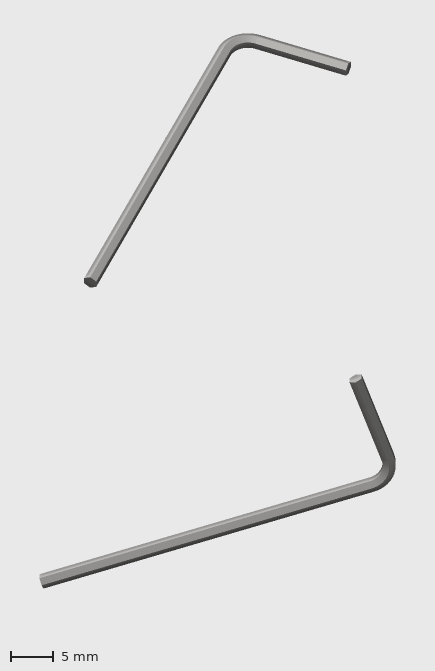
import cadquery as cq
import math

long_side = 44.75
short_side = 15.25

across_flats = 1.5
across_corners = across_flats / math.cos(math.pi / 6)
bend_radius = 3.0

long_straight = long_side - across_flats / 2 - bend_radius
short_straight = short_side - across_flats / 2 - bend_radius

bend_middle = bend_radius * math.sqrt(0.5)
path = (
    cq.Workplane("XY")
    .lineTo(0, long_straight)
    .threePointArc(
        (bend_radius - bend_middle, long_straight + bend_middle),
        (bend_radius, long_straight + bend_radius),
    )
    .lineTo(bend_radius + short_straight, long_straight + bend_radius)
)

section = cq.Workplane("XZ").transformed(rotate=(0, 0, 90)).polygon(6, across_corners)
result = section.sweep(path)